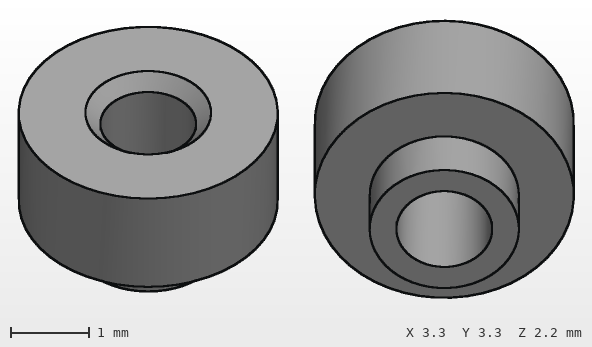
import cadquery as cq

head_diameter = 3.3
spigot_diameter = 1.9
bore_diameter = 1.22
countersink_diameter = 1.6
countersink_angle = 90.0
total_height = 2.2
head_height = 1.5
spigot_height = total_height - head_height

spigot = cq.Workplane("XY").circle(spigot_diameter / 2).extrude(spigot_height)
head = (
    cq.Workplane("XY")
    .workplane(offset=spigot_height)
    .circle(head_diameter / 2)
    .extrude(head_height)
)

result = (
    head.union(spigot)
    .faces(">Z")
    .workplane()
    .cskHole(bore_diameter, countersink_diameter, countersink_angle)
)